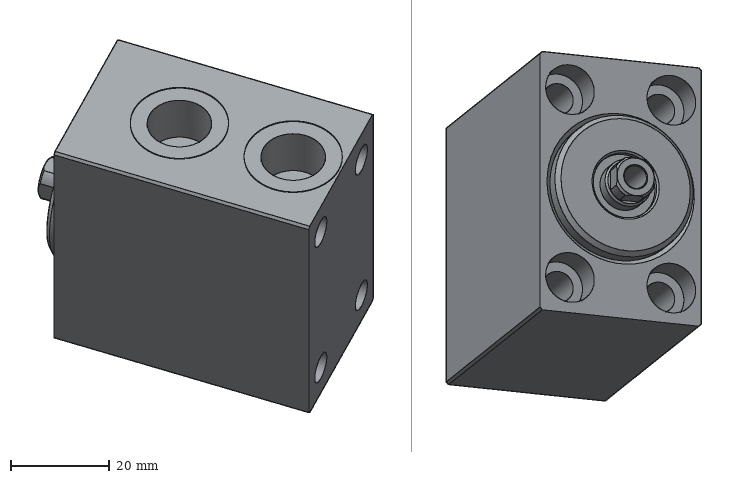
import cadquery as cq
import math


TOTAL_LENGTH = 65.0
HOUSING_LENGTH = 56.0
HOUSING_WIDTH = 35.0
HOUSING_HEIGHT = 55.0
EDGE_CHAMFER = 0.5

BORE_DIAMETER = 29.95
BORE_DEPTH = 50.7
BORE_CHAMFER = 1.0

BOLT_SPACING_Y = 22.0
BOLT_SPACING_Z = 40.0
BOLT_HOLE_DIAMETER = 6.5
BOLT_HEAD_DIAMETER = 10.5
BOLT_HEAD_DEPTH = 7.0

FIRST_PORT_X = 20.5
PORT_PITCH = 25.0
PORT_SEAT_DIAMETER = 20.0
PORT_SEAT_DEPTH = 0.2
PORT_DIAMETER = 13.1
PORT_DEPTH = 11.05
PASSAGE_DIAMETER = 2.6

CAP_PROJECTION = 3.0
CAP_DEPTH = 26.0
CAP_CHAMFER = 1.0
SEAL_RECESS_DIAMETER = 13.7
SEAL_RECESS_DEPTH = 1.5
SEAL_RECESS_CHAMFER = 0.42

ROD_DIAMETER = 10.0
ROD_PROJECTION = 4.95
ROD_CHAMFER = 0.45
TIP_DIAMETER = 9.0
TIP_ACROSS_FLATS = 8.0
TIP_CHAMFER = 0.49
TIP_HOLE_DIAMETER = 4.8
TIP_HOLE_CHAMFER = 0.2
TIP_HOLE_DEPTH = 11.7
DRILL_POINT_ANGLE = 118

PISTON_DIAMETER = BORE_DIAMETER
DRILL_POINT_LENGTH = TIP_HOLE_DIAMETER / 2 / math.tan(math.radians(DRILL_POINT_ANGLE / 2))
ROD_TIP_X = HOUSING_LENGTH - TOTAL_LENGTH
PORT_POSITIONS_X = [FIRST_PORT_X, FIRST_PORT_X + PORT_PITCH]


def cylinder_x(diameter, start, end):
    """Cylinder on the X axis from start to end."""
    return cq.Workplane("YZ", origin=(start, 0, 0)).circle(diameter / 2).extrude(end - start)


def cone_x(start_diameter, end_diameter, start, end):
    """Cone or truncated cone on the X axis from start to end."""
    cone = cq.Solid.makeCone(
        start_diameter / 2,
        end_diameter / 2,
        end - start,
        cq.Vector(start, 0, 0),
        cq.Vector(1, 0, 0),
    )
    return cq.Workplane(cone)


def make_block():
    block = cq.Workplane("YZ").rect(HOUSING_WIDTH, HOUSING_HEIGHT).extrude(HOUSING_LENGTH)
    return block.edges("|X").chamfer(EDGE_CHAMFER)


def cut_bore(body):
    mouth_diameter = BORE_DIAMETER + 2 * BORE_CHAMFER
    body = body.cut(cylinder_x(BORE_DIAMETER, 0, BORE_DEPTH))
    return body.cut(cone_x(mouth_diameter, BORE_DIAMETER, 0, BORE_CHAMFER))


def cut_bolt_holes(body):
    centres = cq.Workplane("YZ").rect(BOLT_SPACING_Y, BOLT_SPACING_Z, forConstruction=True).vertices()
    holes = centres.circle(BOLT_HOLE_DIAMETER / 2).extrude(HOUSING_LENGTH)
    heads = centres.circle(BOLT_HEAD_DIAMETER / 2).extrude(BOLT_HEAD_DEPTH)
    return body.cut(holes).cut(heads)


def cut_port(body, x):
    """Round port with a shallow seat and a narrow passage into the bore."""
    top = cq.Workplane("XY", origin=(x, 0, HOUSING_HEIGHT / 2))
    body = body.cut(top.circle(PORT_SEAT_DIAMETER / 2).extrude(-PORT_SEAT_DEPTH))
    body = body.cut(top.circle(PORT_DIAMETER / 2).extrude(-PORT_DEPTH))
    return body.cut(top.circle(PASSAGE_DIAMETER / 2).extrude(-HOUSING_HEIGHT / 2))


def make_housing():
    body = cut_bolt_holes(cut_bore(make_block()))
    for x in PORT_POSITIONS_X:
        body = cut_port(body, x)
    return body


def make_cap():
    """Plug with a rod hole and a shallow seal recess in its outer face."""
    face_x = -CAP_PROJECTION
    recess_mouth = SEAL_RECESS_DIAMETER + 2 * SEAL_RECESS_CHAMFER
    plug = cylinder_x(BORE_DIAMETER, face_x, CAP_DEPTH).faces("<X").chamfer(CAP_CHAMFER)
    plug = plug.cut(cylinder_x(ROD_DIAMETER, face_x, CAP_DEPTH))
    plug = plug.cut(cylinder_x(SEAL_RECESS_DIAMETER, face_x, face_x + SEAL_RECESS_DEPTH))
    return plug.cut(cone_x(recess_mouth, SEAL_RECESS_DIAMETER, face_x, face_x + SEAL_RECESS_CHAMFER))


def make_rod_tip():
    """Round tip with four wrench flats."""
    tip = cylinder_x(TIP_DIAMETER, ROD_TIP_X, -ROD_PROJECTION).faces("<X").chamfer(TIP_CHAMFER)
    flats = cq.Workplane("YZ", origin=(ROD_TIP_X, 0, 0)).rect(TIP_ACROSS_FLATS, TIP_ACROSS_FLATS)
    return tip.intersect(flats.extrude(-ROD_PROJECTION - ROD_TIP_X))


def make_piston_rod():
    """Shank with a wrench tip in front and a piston at the back of the bore."""
    shank = cylinder_x(ROD_DIAMETER, -ROD_PROJECTION, CAP_DEPTH).faces("<X").chamfer(ROD_CHAMFER)
    piston = cylinder_x(PISTON_DIAMETER, CAP_DEPTH, BORE_DEPTH)
    hole_end = ROD_TIP_X + TIP_HOLE_DEPTH
    hole = cylinder_x(TIP_HOLE_DIAMETER, ROD_TIP_X, hole_end)
    mouth_diameter = TIP_HOLE_DIAMETER + 2 * TIP_HOLE_CHAMFER
    hole_mouth = cone_x(mouth_diameter, TIP_HOLE_DIAMETER, ROD_TIP_X, ROD_TIP_X + TIP_HOLE_CHAMFER)
    drill_point = cone_x(TIP_HOLE_DIAMETER, 0, hole_end, hole_end + DRILL_POINT_LENGTH)
    return shank.union(piston).union(make_rod_tip()).cut(hole).cut(hole_mouth).cut(drill_point)


housing = make_housing()
cap = make_cap()
piston_rod = make_piston_rod()

result = cq.Compound.makeCompound([housing.val(), cap.val(), piston_rod.val()])